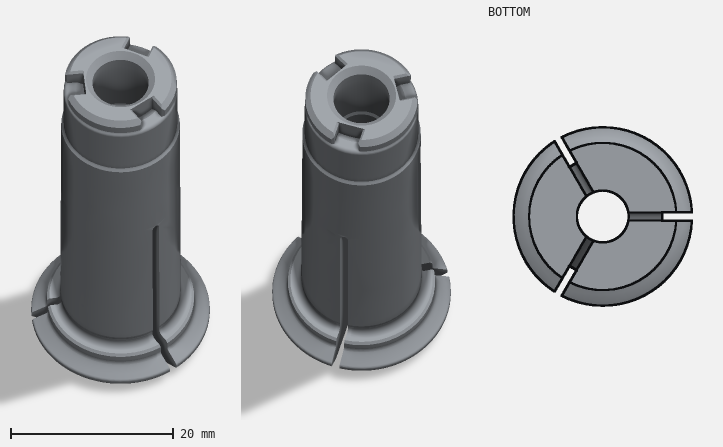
import cadquery as cq
import math

TOTAL_HEIGHT = 50.5
SEGMENTS = 3

FLANGE_RADIUS = 11.0
FLANGE_BASE_RADIUS = 9.07
FLANGE_ANGLE = math.radians(31)
RIM_BOTTOM_Z = (FLANGE_RADIUS - FLANGE_BASE_RADIUS) * math.tan(FLANGE_ANGLE)
RIM_TOP_Z = 1.85
RIM_FILLET = 0.35
CONE_TOP_Z = RIM_TOP_Z + RIM_BOTTOM_Z
COLLAR_FOOT_FILLET = 0.45

COLLAR_TOP_Z = 4.53
COLLAR_CHAMFER = 0.3

RELIEF_RADIUS = 7.36
RELIEF_FILLET = 0.68
RELIEF_LIP_Z = 5.58
RELIEF_TOP_Z = 5.8
SLEEVE_BOTTOM_Z = 6.05
SLEEVE_BOTTOM_RADIUS = 7.44
SLEEVE_TOP_Z = 40.95
SLEEVE_TOP_RADIUS = 7.3

NECK_RADIUS = 7.0
NECK_BOTTOM_Z = 41.35
NECK_FILLET = 0.48
SHOULDER_Z = 48.45
NECK_TOP_Z = SHOULDER_Z - NECK_FILLET
SHOULDER_RADIUS = NECK_RADIUS - NECK_FILLET

HEAD_RADIUS = 6.93
HEAD_CHAMFER = 0.65
TOOTH_CHAMFER = 0.32

BORE_RADIUS = 6.35 / 2
ENTRY_BORE_RADIUS = 6.92 / 2
ENTRY_BORE_DEPTH = 10.0
BORE_MOUTH_RADIUS = 8.5 / 2

NOTCH_INNER = 4.44
NOTCH_WIDTH = 3.1
NOTCH_EDGE_CHAMFER = 0.27
DIP_RADIUS = 10.92 / 2
DIP_ANGLE = math.radians(36)

SLOT_WIDTH = 1.0
SLOT_TOP_Z = 27.7
SLOT_END_ANGLE = math.radians(40)
CUT_REACH = 12.0
EDGE_TOLERANCE = 0.01


def between_heights(bottom, top):
    """Selector for edges whose centre lies between two heights."""
    return cq.selectors.BoxSelector(
        (-CUT_REACH, -CUT_REACH, bottom - EDGE_TOLERANCE),
        (CUT_REACH, CUT_REACH, top + EDGE_TOLERANCE),
    )


def revolve_profile():
    """Outer body as one revolved half section, before the bore is made."""
    section = (
        cq.Workplane("XZ")
        .moveTo(0, 0)
        .lineTo(FLANGE_BASE_RADIUS, 0)
        .lineTo(FLANGE_RADIUS, RIM_BOTTOM_Z)
        .lineTo(FLANGE_RADIUS, RIM_TOP_Z)
        .lineTo(FLANGE_BASE_RADIUS, CONE_TOP_Z)
        .lineTo(FLANGE_BASE_RADIUS, COLLAR_TOP_Z - COLLAR_CHAMFER)
        .lineTo(FLANGE_BASE_RADIUS - COLLAR_CHAMFER, COLLAR_TOP_Z)
        .lineTo(RELIEF_RADIUS + RELIEF_FILLET, COLLAR_TOP_Z)
        .radiusArc((RELIEF_RADIUS, COLLAR_TOP_Z + RELIEF_FILLET), RELIEF_FILLET)
        .lineTo(RELIEF_RADIUS, RELIEF_LIP_Z)
        .lineTo((RELIEF_RADIUS + SLEEVE_BOTTOM_RADIUS) / 2, RELIEF_TOP_Z)
        .lineTo(SLEEVE_BOTTOM_RADIUS, SLEEVE_BOTTOM_Z)
        .lineTo(SLEEVE_TOP_RADIUS, SLEEVE_TOP_Z)
        .lineTo(NECK_RADIUS, NECK_BOTTOM_Z)
        .lineTo(NECK_RADIUS, NECK_TOP_Z)
        .radiusArc((SHOULDER_RADIUS, SHOULDER_Z), -NECK_FILLET)
        .lineTo(0, SHOULDER_Z)
        .close()
    )
    body = section.revolve(360, (0, 0), (0, 1))
    body = body.edges(between_heights(RIM_BOTTOM_Z, RIM_BOTTOM_Z)).edges("%CIRCLE").fillet(RIM_FILLET)
    body = body.edges(between_heights(RIM_TOP_Z, RIM_TOP_Z)).edges("%CIRCLE").fillet(RIM_FILLET)
    return body.edges(between_heights(CONE_TOP_Z, CONE_TOP_Z)).edges("%CIRCLE").fillet(COLLAR_FOOT_FILLET)


def around_axis(cutter):
    """Union of copies of a cutter, equally spaced about the Z axis."""
    copies = cq.Workplane("XY")
    for index in range(SEGMENTS):
        angle = index * 360 / SEGMENTS
        copies = copies.add(cutter.rotate((0, 0, 0), (0, 0, 1), angle))
    return copies.combine()


def make_notch():
    """Radial notch along +X, flared by a chamfer along its top edges."""
    half = NOTCH_WIDTH / 2
    flare_half = half + NOTCH_EDGE_CHAMFER
    return (
        cq.Workplane("YZ", origin=(NOTCH_INNER, 0, 0))
        .moveTo(-half, SHOULDER_Z)
        .lineTo(half, SHOULDER_Z)
        .lineTo(half, TOTAL_HEIGHT - NOTCH_EDGE_CHAMFER)
        .lineTo(flare_half, TOTAL_HEIGHT)
        .lineTo(-flare_half, TOTAL_HEIGHT)
        .lineTo(-half, TOTAL_HEIGHT - NOTCH_EDGE_CHAMFER)
        .close()
        .extrude(CUT_REACH - NOTCH_INNER)
    )


def make_head():
    """Head disc split into teeth, with the outer edges of each tooth chamfered."""
    disc = (
        cq.Workplane("XY", origin=(0, 0, SHOULDER_Z))
        .circle(HEAD_RADIUS)
        .extrude(TOTAL_HEIGHT - SHOULDER_Z)
        .faces(">Z")
        .chamfer(HEAD_CHAMFER)
    )
    teeth = disc.cut(around_axis(make_notch()))
    side_middle_z = (SHOULDER_Z + TOTAL_HEIGHT - HEAD_CHAMFER) / 2
    lower_edges = teeth.faces("%CYLINDER").edges(between_heights(SHOULDER_Z, side_middle_z))
    return lower_edges.chamfer(TOOTH_CHAMFER)


def make_floor_dip():
    """Conical dip at the inner end of a notch floor, below the flat inner wall."""
    dip_depth = (DIP_RADIUS - NOTCH_INNER) * math.tan(DIP_ANGLE)
    cone = (
        cq.Workplane("XZ")
        .moveTo(0, SHOULDER_Z)
        .lineTo(DIP_RADIUS, SHOULDER_Z)
        .lineTo(NOTCH_INNER, SHOULDER_Z - dip_depth)
        .lineTo(0, SHOULDER_Z - dip_depth)
        .close()
        .revolve(360, (0, 0), (0, 1))
    )
    notch_strip = (
        cq.Workplane("XY")
        .box(DIP_RADIUS - NOTCH_INNER, NOTCH_WIDTH, dip_depth, centered=(False, True, False))
        .translate((NOTCH_INNER, 0, SHOULDER_Z - dip_depth))
    )
    return cone.intersect(notch_strip)


def make_bore():
    """Through bore with a wider entry and conical steps at both ends of the entry."""
    mouth_depth = BORE_MOUTH_RADIUS - ENTRY_BORE_RADIUS
    entry_bottom_z = TOTAL_HEIGHT - ENTRY_BORE_DEPTH
    return (
        cq.Workplane("XZ")
        .lineTo(BORE_RADIUS, 0)
        .lineTo(BORE_RADIUS, entry_bottom_z - (ENTRY_BORE_RADIUS - BORE_RADIUS))
        .lineTo(ENTRY_BORE_RADIUS, entry_bottom_z)
        .lineTo(ENTRY_BORE_RADIUS, TOTAL_HEIGHT - mouth_depth)
        .lineTo(BORE_MOUTH_RADIUS, TOTAL_HEIGHT)
        .lineTo(0, TOTAL_HEIGHT)
        .close()
        .revolve(360, (0, 0), (0, 1))
    )


def make_slot():
    """Slot along +X from the bottom face into the bore, with a sloping round end."""
    slope = math.tan(SLOT_END_ANGLE)
    round_rise = SLOT_WIDTH / 2 / math.cos(SLOT_END_ANGLE)
    axis_z = SLOT_TOP_Z - round_rise - SLEEVE_BOTTOM_RADIUS * slope
    blade = (
        cq.Workplane("XZ")
        .lineTo(CUT_REACH, 0)
        .lineTo(CUT_REACH, axis_z + CUT_REACH * slope)
        .lineTo(0, axis_z)
        .close()
        .extrude(SLOT_WIDTH / 2, both=True)
    )
    end_direction = cq.Vector(1, 0, slope)
    end_length = CUT_REACH / math.cos(SLOT_END_ANGLE)
    round_end = cq.Solid.makeCylinder(SLOT_WIDTH / 2, end_length, cq.Vector(0, 0, axis_z), end_direction)
    return blade.union(cq.Workplane("XY").add(round_end))


body = revolve_profile().union(make_head())
body = body.cut(around_axis(make_floor_dip()))
body = body.cut(make_bore())
result = body.cut(around_axis(make_slot()))